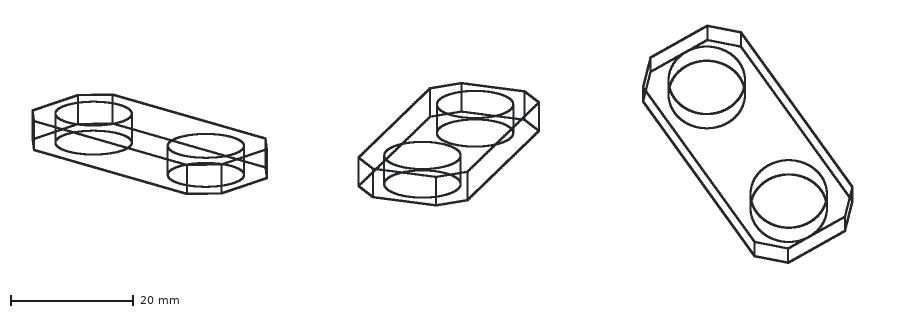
import cadquery as cq

length = 42.0
width = 19.0
thickness = 5.0
corner_chamfer = 4.0

hole_diameter = 12.5
hole_spacing = 25.0

plate = (
    cq.Workplane("XY")
    .box(length, width, thickness)
    .edges("|Z")
    .chamfer(corner_chamfer)
)

result = (
    plate.faces(">Z")
    .workplane()
    .pushPoints([(-hole_spacing / 2, 0), (hole_spacing / 2, 0)])
    .hole(hole_diameter)
)